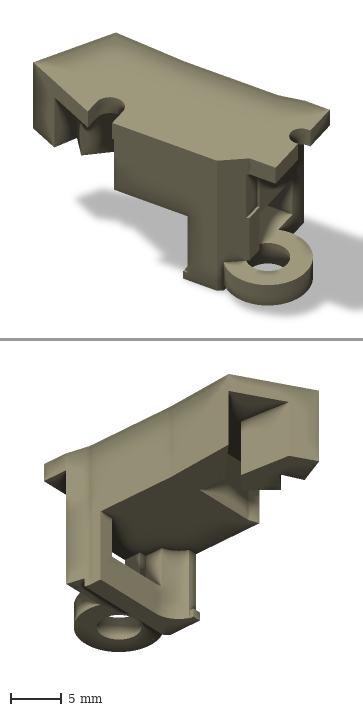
import cadquery as cq
import math

total_height = 16.6
plate_bottom = 14.58
body_bottom = 8.15
ring_top = 3.58
ring_bottom = 0.97

plate_end = 29.45
block_end = 26.45
cross_wall_inner = 22.35
cross_wall_outer = 24.4
leg_start = 20.42
foot_start = 19.9
body_start = 12.4
taper_start = 23.8

back_y = 12.75
back_wall_y = 12.15
front_step_y = 1.97
leg_thickness = 1.05
foot_width = 0.97
window_front_y = 3.1
window_back_y = 10.5
pillar_inner_y = 3.95

nose = (0, 4.45)
back_left = (4.75, back_y)
back_bend = (12.97, back_wall_y)
back_taper = (26.58, back_y)

slot_width = 3.03
slot_center = (10.2, 2.13)
slot_corner = (slot_center[0] - slot_width / 2, 0.35)
end_notch_radius = 1.23
end_notch_center = (29.13, 7.65)

ring_radius = 4.52
ring_hole_diameter = 4.5
ring_center = (32.25 - ring_radius, 3.35)

relief_depth = 0.3
relief_bottom = 9.03


def prism(points, bottom, top):
    """Extrude a closed XY outline between two heights."""
    return cq.Workplane("XY").workplane(offset=bottom).polyline(points).close().extrude(top - bottom)


def point_along(start, end, x):
    """Find the point at a given X on the line through two points."""
    slope = (end[1] - start[1]) / (end[0] - start[0])
    return (x, start[1] + slope * (x - start[0]))


def box(x_range, y_range, z_range):
    """Make a box from its limits along each axis."""
    (x0, x1), (y0, y1), (z0, z1) = x_range, y_range, z_range
    return cq.Workplane("XY").box(x1 - x0, y1 - y0, z1 - z0, centered=False).translate((x0, y0, z0))


def cylinder(center, radius, bottom, top):
    """Make a vertical cylinder between two heights."""
    return cq.Workplane("XY").workplane(offset=bottom).center(*center).circle(radius).extrude(top - bottom)


def make_plate():
    """Top plate with a round-ended front slot and a round-bottomed end notch."""
    slot_left, slot_corner_y = slot_corner
    slot_right = slot_center[0] + slot_width / 2
    plate = prism(
        [
            nose, back_left, back_bend, (taper_start, back_wall_y), back_taper,
            (plate_end, back_y), (plate_end, front_step_y), (block_end, front_step_y),
            (taper_start, 0), (slot_right, 0), (slot_right, slot_corner_y), slot_corner,
        ],
        plate_bottom, total_height,
    )
    z_range = (plate_bottom, total_height)
    notch_x, notch_y = end_notch_center
    plate = plate.cut(box((slot_left, slot_right), (0, slot_center[1]), z_range))
    plate = plate.cut(cylinder(slot_center, slot_width / 2, *z_range))
    plate = plate.cut(cylinder(end_notch_center, end_notch_radius, *z_range))
    notch_y_range = (notch_y - end_notch_radius, notch_y + end_notch_radius)
    return plate.cut(box((notch_x, plate_end), notch_y_range, z_range))


def make_hook():
    """V-notched post hanging from the nose of the plate."""
    front_corner = point_along(nose, slot_corner, 3.35)
    back_corner = point_along(nose, back_left, 1.58)
    outline = [
        nose, front_corner, (4.55, 5.32), (6.32, 3.1),
        (9.35, 5.68), (7.52, 7.77), back_corner,
    ]
    return prism(outline, body_bottom, plate_bottom)


def make_body():
    """Main block with a tapered wing reaching the back left corner."""
    wing_front_y = 8.45
    outline = [
        back_left, (9.1, wing_front_y), (body_start, wing_front_y), (body_start, 1.15), (11.95, 0),
        (taper_start, 0), (block_end, front_step_y), (block_end, back_y),
        (taper_start, back_wall_y), back_bend,
    ]
    return prism(outline, body_bottom, plate_bottom)


def make_end_frame():
    """Cross wall, front leg and outer pillars around an open window."""
    outer = [
        (cross_wall_inner, 0), (taper_start, 0), (block_end, front_step_y),
        (block_end, back_y), (taper_start, back_wall_y), (cross_wall_inner, back_wall_y),
    ]
    frame = prism(outer, 0, body_bottom)
    frame = frame.cut(box((cross_wall_outer, block_end), (0, back_y), (0, ring_bottom)))

    run = cross_wall_inner - leg_start
    rise = pillar_inner_y - leg_thickness
    bend_radius = (run**2 + rise**2) / (2 * run)
    half_sweep = math.asin(rise / bend_radius) / 2
    bend_middle = (
        cross_wall_inner - bend_radius * (1 - math.cos(half_sweep)),
        pillar_inner_y - bend_radius * math.sin(half_sweep),
    )
    leg = (
        cq.Workplane("XY")
        .moveTo(leg_start, 0)
        .lineTo(leg_start, leg_thickness)
        .threePointArc(bend_middle, (cross_wall_inner, pillar_inner_y))
        .lineTo(cross_wall_inner, 0)
        .close()
        .extrude(body_bottom)
    )
    foot = box((foot_start, leg_start), (0, foot_width), (0, ring_bottom))
    frame = frame.union(leg).union(foot)

    window_z = (ring_top, body_bottom)
    frame = frame.cut(box((leg_start, cross_wall_outer), (window_front_y, window_back_y), window_z))
    return frame.cut(box((cross_wall_outer, block_end), (pillar_inner_y, window_back_y), window_z))


def add_ring(part):
    """Add the eyelet outside the cross wall and open its hole."""
    ring = cylinder(ring_center, ring_radius, ring_bottom, ring_top)
    hole = cylinder(ring_center, ring_hole_diameter / 2, ring_bottom, ring_top)
    inside = box(
        (ring_center[0] - ring_radius, cross_wall_outer),
        (ring_center[1] - ring_radius, ring_center[1] + ring_radius),
        (ring_bottom, ring_top),
    )
    return part.union(ring.cut(inside)).cut(hole)


relief = box(
    (block_end - relief_depth, block_end),
    (0, pillar_inner_y),
    (relief_bottom, plate_bottom),
)

result = make_plate().union(make_hook()).union(make_body()).union(make_end_frame())
result = add_ring(result).cut(relief)